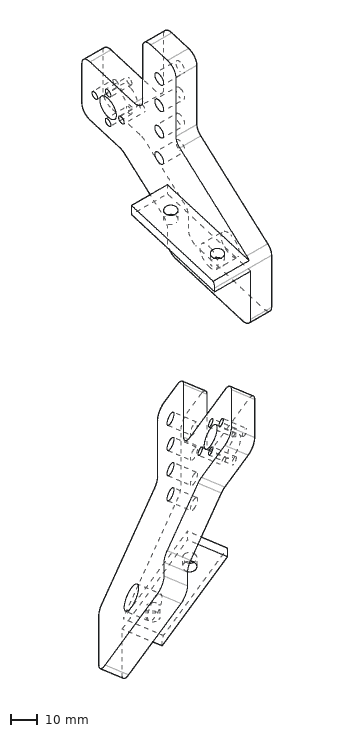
import cadquery as cq

width = 101.5
height = 103.8
plate_thickness = 10.0
corner_radius = 5.0

tower_width = 20.0
tower_left = 36.5
tower_right = tower_left + tower_width
arm_bottom = 32.2
arm_top = 63.8
arm_slope_start = 24.3
foot_width = 50.0
foot_left = width - foot_width
foot_left_top = 15.6
foot_right_top = 36.0

shelf_depth = 17.0
shelf_thickness = 5.0
shelf_bottom = 31.1
shelf_hole_diameter = 5.3
shelf_hole_spacing = 28.0
shelf_hole_offset = 7.1
shelf_first_hole = 11.0

tower_hole_diameter = 5.3
tower_hole_spacing = 14.3
tower_hole_count = 4
tower_lowest_hole = 46.5
motor_bore_diameter = 10.0
motor_screw_diameter = 3.3
motor_screw_circle = 16.0
motor_x = (arm_top - arm_bottom) / 2
motor_z = (arm_top + arm_bottom) / 2
foot_hole_diameter = 11.0
foot_hole_x = foot_left + foot_width / 2
foot_hole_z = 18.1


def rounded_outline(depth):
    """The plate outline with every corner rounded, extruded from the back (Y = 0) to -Y."""
    corners = [
        (0, arm_bottom),
        (arm_slope_start, arm_bottom),
        (foot_left, foot_left_top),
        (foot_left, 0),
        (width, 0),
        (width, foot_right_top),
        (tower_right, arm_top),
        (tower_right, height),
        (tower_left, height),
        (tower_left, arm_top),
        (0, arm_top),
    ]
    block = cq.Workplane("XZ").polyline(corners).close().extrude(depth)
    return block.edges("|Y").fillet(corner_radius)


def plate_holes(points, diameter):
    return cq.Workplane("XZ").pushPoints(points).circle(diameter / 2).extrude(plate_thickness)


def make_shelf():
    """A flat shelf whose right end follows the rounded plate outline."""
    total_depth = plate_thickness + shelf_depth
    bar = cq.Workplane("XY").box(foot_width, total_depth, shelf_thickness, centered=False)
    bar = bar.translate((foot_left, -total_depth, shelf_bottom))
    shelf = bar.intersect(rounded_outline(total_depth))
    first_x = foot_left + shelf_first_hole
    hole_y = -plate_thickness - shelf_hole_offset
    holes = (
        cq.Workplane("XY", origin=(0, 0, shelf_bottom))
        .pushPoints([(first_x, hole_y), (first_x + shelf_hole_spacing, hole_y)])
        .circle(shelf_hole_diameter / 2)
        .extrude(shelf_thickness)
    )
    return shelf.cut(holes)


tower_x = tower_left + tower_width / 2
tower_points = [(tower_x, tower_lowest_hole + i * tower_hole_spacing) for i in range(tower_hole_count)]
screw_radius = motor_screw_circle / 2
screw_points = [
    (motor_x + dx * screw_radius, motor_z + dz * screw_radius)
    for dx, dz in [(1, 0), (0, 1), (-1, 0), (0, -1)]
]

result = rounded_outline(plate_thickness).union(make_shelf())
result = result.cut(plate_holes(tower_points, tower_hole_diameter))
result = result.cut(plate_holes([(motor_x, motor_z)], motor_bore_diameter))
result = result.cut(plate_holes(screw_points, motor_screw_diameter))
result = result.cut(plate_holes([(foot_hole_x, foot_hole_z)], foot_hole_diameter))